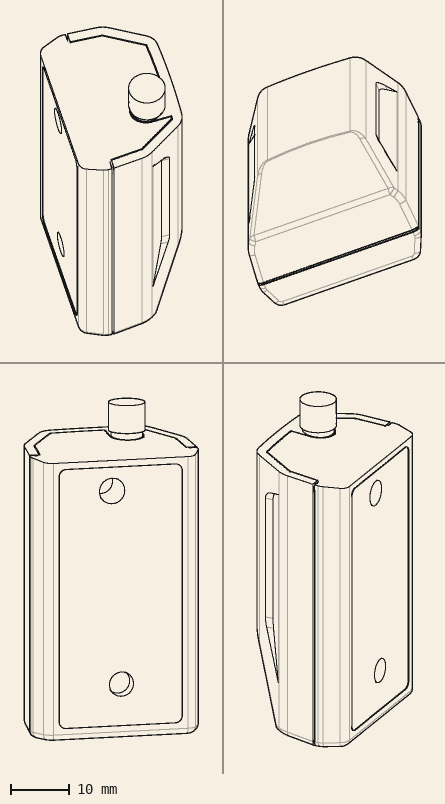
import cadquery as cq

depth = 19.61
half_width = 14.6
front_half_width = 12.85
belt_start = 4.05
seam_front = 5.15
seam_back = 5.5
shoulder_half_width = 14.12
shoulder_y = 11.6
back_half_width = 9.0
back_corner_y = 19.3
front_corner_radius = 1.7
belt_radius = 2.2
shoulder_radius = 4.2
back_corner_radius = 3.0

top_front_z = 48.37
top_back_z = 50.0
keel_y = (seam_front + seam_back) / 2
base_bottom_rise = 0.24
lid_bottom_slope = 0.118
heel_y = 13.35
heel_z = lid_bottom_slope * (heel_y - keel_y)
back_ramp_z = 18.2
bottom_fillet = 1.1

reveal_depth = 0.15
reveal_bottom_depth = 0.35
reveal_top_radius = 1.6
lid_wall = 1.75
seam_width = 0.12
seam_depth = 0.25

connector_x = 4.55
connector_y = 14.1
connector_diameter = 6.2
neck_diameter = 5.4
connector_top_z = 55.33
connector_height = 4.87
neck_root_depth = 1.0
neck_slot_radius = 2.85

label_width = 21.5
label_bottom_z = 2.33
label_top_z = 47.2
label_radius = 1.2
label_depth = 0.15
hole_draft = 1.3
upper_hole_x = -1.48
upper_hole_z = 43.05
upper_hole_diameter = 4.42
upper_hole_depth = 8.0
lower_hole_x = 0.15
lower_hole_z = 9.5
lower_hole_diameter = 4.2
lower_hole_depth = 2.6

grip_wall_x = 11.0
grip_floor_inner_y = 14.85
grip_edge_x = 13.4
grip_edge_y = 12.67
grip_bottom_z = 10.3
grip_bend_z = 19.8
grip_top_z = 45.0
grip_top_side_z = 43.9
grip_bend_radius = 7.0
grip_top_radius = 1.9

big = 100.0
clearance = 1.0
tolerance = 0.01
underside_normal_z = -0.2


def top_z(y):
    """Height of the sloping top face at depth y."""
    return top_front_z + (top_back_z - top_front_z) * y / depth


def slab(y_start, y_end):
    """Oversized block filling the given range of Y."""
    return cq.Workplane("XY").box(big, y_end - y_start, 2 * big).translate((0, (y_start + y_end) / 2, 0))


def plan_outline():
    """Sharp-cornered plan of the housing, with a gently crowned back."""
    right = [
        (front_half_width, 0), (half_width, belt_start), (half_width, seam_back),
        (shoulder_half_width, shoulder_y), (back_half_width, back_corner_y),
    ]
    left = [(-x, y) for x, y in reversed(right)]
    outline = cq.Workplane("XY").polyline(right).threePointArc((0, depth), left[0])
    for point in left[1:]:
        outline = outline.lineTo(*point)
    return outline.close()


def round_upright_edges(body, x, y, radius):
    """Fillet the mirrored pair of upright edges at (-x, y) and (x, y)."""
    for edge_x in (-x, x):
        near_edge = cq.selectors.BoxSelector(
            (edge_x - tolerance, y - tolerance, -big), (edge_x + tolerance, y + tolerance, big)
        )
        body = body.edges("|Z").edges(near_edge).fillet(radius)
    return body


def sharp_housing():
    """Rounded plan outline trimmed to the side profile, bottom edges still sharp."""
    body = plan_outline().extrude(top_back_z)
    body = round_upright_edges(body, front_half_width, 0, front_corner_radius)
    body = round_upright_edges(body, half_width, belt_start, belt_radius)
    body = round_upright_edges(body, shoulder_half_width, shoulder_y, shoulder_radius)
    body = round_upright_edges(body, back_half_width, back_corner_y, back_corner_radius)
    side_profile = (
        cq.Workplane("YZ")
        .polyline([
            (0, base_bottom_rise), (keel_y, 0), (heel_y, heel_z), (depth, back_ramp_z),
            (depth, top_back_z), (0, top_front_z),
        ])
        .close()
        .extrude(big, both=True)
    )
    return body.intersect(side_profile)


def is_underside(face):
    """True for the flat bottom and ramp faces, which point clearly downward."""
    return face.geomType() == "PLANE" and face.normalAt().z < underside_normal_z


def round_bottom(body):
    """Fillet the edges of the downward faces, except on the flat joint at the keel
    and where the ramp runs out on the back face."""
    back_run_out_z = back_ramp_z - clearance
    edges = []
    for face in body.faces().vals():
        if not is_underside(face):
            continue
        for edge in face.Edges():
            middle = edge.Center()
            on_joint = abs(middle.y - keel_y) < tolerance
            on_back = middle.z > back_run_out_z
            already_listed = any(edge.isSame(other) for other in edges)
            if not (on_joint or on_back or already_listed):
                edges.append(edge)
    return cq.Workplane(body.val().fillet(bottom_fillet, edges))


def housing():
    """Base and lid, rounded separately along the bottom and joined at the keel."""
    sharp = sharp_housing()
    base = round_bottom(sharp.intersect(slab(-clearance, keel_y)))
    lid = round_bottom(sharp.intersect(slab(keel_y, depth + clearance)))
    return base.union(lid)


def reveal_cutter():
    """Narrow band left open around the sides and bottom, between base and lid."""
    core_half_width = half_width - reveal_depth
    core_top_z = top_z(seam_back)
    core = (
        cq.Workplane("XZ")
        .rect(2 * core_half_width, core_top_z - reveal_bottom_depth)
        .extrude(big, both=True)
        .translate((0, 0, (core_top_z + reveal_bottom_depth) / 2))
        .edges("|Y and >Z").fillet(reveal_top_radius)
        .edges("|Y and <Z").fillet(bottom_fillet)
    )
    return slab(seam_front, seam_back).cut(core)


def neck_slot(radius):
    """Round-bottomed slot in the lid that opens toward the back around the neck."""
    round_end = cq.Workplane("XY").center(connector_x, connector_y).circle(radius).extrude(big)
    straight = (
        cq.Workplane("XY")
        .center(connector_x, (connector_y + depth) / 2)
        .rect(2 * radius, depth - connector_y)
        .extrude(big)
    )
    return round_end.union(straight)


def seam_cutter():
    """Hairline groove in the top face along the inner edge of the lid."""
    outer = plan_outline().offset2D(-lid_wall, "intersection").extrude(big)
    inner = plan_outline().offset2D(-lid_wall - seam_width, "intersection").extrude(big)
    groove = outer.cut(neck_slot(neck_slot_radius))
    groove = groove.cut(inner.cut(neck_slot(neck_slot_radius + seam_width)))
    top_skin = (
        cq.Workplane("YZ")
        .polyline([
            (seam_back, top_z(seam_back) - seam_depth), (depth, top_back_z - seam_depth),
            (depth, top_back_z + clearance), (seam_back, top_back_z + clearance),
        ])
        .close()
        .extrude(big, both=True)
    )
    return groove.intersect(top_skin)


def grip_cutter():
    """Right-hand grip recess: an upright wall and a floor that runs out at the shoulder."""
    floor_slope = (grip_edge_y - grip_floor_inner_y) / (grip_edge_x - grip_wall_x)
    outer_y = grip_floor_inner_y + floor_slope * (half_width - grip_wall_x)
    above_floor = (
        cq.Workplane("XY")
        .polyline([
            (grip_wall_x, grip_floor_inner_y), (half_width, outer_y),
            (half_width, depth), (grip_wall_x, depth),
        ])
        .close()
        .extrude(big)
    )
    bottom_slope = (grip_bend_z - grip_bottom_z) / (grip_edge_x - grip_wall_x)
    top_slope = (grip_top_z - grip_top_side_z) / (grip_edge_x - grip_wall_x)
    overrun = half_width - grip_edge_x
    outline = (
        cq.Workplane("XZ")
        .polyline([
            (grip_wall_x, grip_bend_z), (half_width, grip_bottom_z - bottom_slope * overrun),
            (half_width, grip_top_z + top_slope * overrun), (grip_wall_x, grip_top_side_z),
        ])
        .close()
        .extrude(-depth)
        .edges("|Y").edges("<X").edges("<Z").fillet(grip_bend_radius)
        .edges("|Y").edges("<X").edges(">Z").fillet(grip_top_radius)
    )
    return outline.intersect(above_floor)


def label_cutter():
    """Shallow recess in the front face."""
    return (
        cq.Workplane("XZ")
        .center(0, (label_bottom_z + label_top_z) / 2)
        .rect(label_width, label_top_z - label_bottom_z)
        .extrude(-label_depth)
        .edges("|Y").fillet(label_radius)
    )


def front_hole(x, z, diameter, hole_depth):
    """Blind hole from the front face, narrowing inward by the hole draft."""
    return cq.Workplane("XZ").center(x, z).circle(diameter / 2).extrude(-hole_depth, taper=hole_draft)


def connector():
    """Cylindrical head on a thinner neck rooted in the top face."""
    head_z = connector_top_z - connector_height
    neck_z = top_z(connector_y) - neck_root_depth
    plan = cq.Workplane("XY").center(connector_x, connector_y)
    head = plan.workplane(offset=head_z).circle(connector_diameter / 2).extrude(connector_height)
    neck = plan.workplane(offset=neck_z).circle(neck_diameter / 2).extrude(head_z - neck_z)
    return head.union(neck)


result = housing()
result = result.cut(reveal_cutter())
result = result.cut(seam_cutter())
grip = grip_cutter()
result = result.cut(grip).cut(grip.mirror("YZ"))
result = result.cut(label_cutter())
result = result.cut(front_hole(upper_hole_x, upper_hole_z, upper_hole_diameter, upper_hole_depth))
result = result.cut(front_hole(lower_hole_x, lower_hole_z, lower_hole_diameter, lower_hole_depth))
result = result.union(connector())